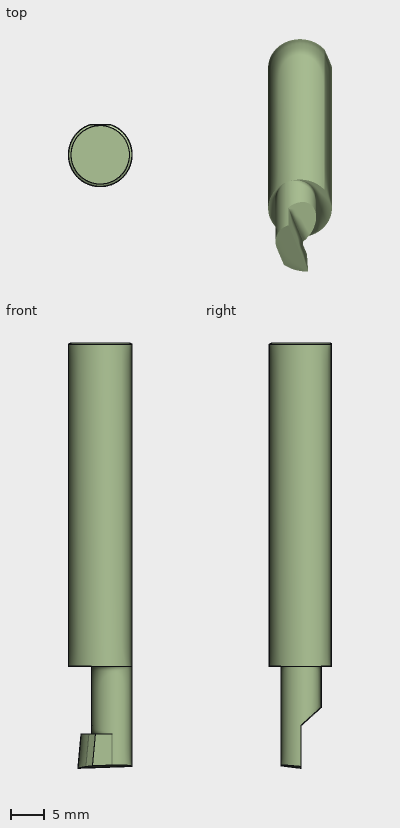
import cadquery as cq
import math


overall_length = 63.5
shank_diameter = 9.525
shank_radius = shank_diameter / 2
shank_depth_across_flat = 9.27
shank_bottom = 15.24
chamfer_radial = 0.4
chamfer_height = 0.2

neck_radius = 3.035
neck_x = shank_radius - neck_radius

rake_runout_bottom = 6.4
rake_runout_angle = 42.0

head_top = 5.15
tip_x = -3.35
side_lean_angle = 5.3
relief_corner_x = -2.17
relief_corner_y = -2.15
relief_sweep_angle = 22.0
heel_x = -1.2
heel_y = -neck_radius

end_rise_along_x = 2.0
end_rise_along_y = 6.0

clearance = 10.0


def tan_deg(angle):
    return math.tan(math.radians(angle))


def make_shank():
    length = overall_length - shank_bottom
    shank = (
        cq.Workplane("XY")
        .workplane(offset=shank_bottom)
        .circle(shank_radius)
        .extrude(length)
        .faces(">Z")
        .chamfer(chamfer_height, chamfer_radial)
    )
    flat_y = shank_depth_across_flat - shank_radius
    flat_cutter = cq.Workplane("XY").box(
        shank_diameter, clearance, overall_length, centered=(True, False, False)
    )
    return shank.cut(flat_cutter.translate((0, flat_y, 0)))


def make_neck():
    neck = cq.Workplane("XY").center(neck_x, 0).circle(neck_radius).extrude(shank_bottom)
    runout_top = rake_runout_bottom + clearance * tan_deg(rake_runout_angle)
    rake_cutter = (
        cq.Workplane("YZ")
        .polyline([
            (0, -clearance),
            (0, rake_runout_bottom),
            (clearance, runout_top),
            (clearance, -clearance),
        ])
        .close()
        .extrude(clearance, both=True)
    )
    return neck.cut(rake_cutter)


def arc_middle(start, end, sweep_angle):
    """Middle point of an arc that bulges to the right when going from start to end."""
    dx = end[0] - start[0]
    dy = end[1] - start[1]
    bulge = tan_deg(sweep_angle / 4) / 2
    return (
        (start[0] + end[0]) / 2 + bulge * dy,
        (start[1] + end[1]) / 2 - bulge * dx,
    )


def draw_head_outline(workplane, shift):
    """Half-section of the head with its leaning side moved by shift along X."""
    tip = (tip_x + shift, 0)
    relief_corner = (relief_corner_x + shift, relief_corner_y)
    return (
        workplane.moveTo(*tip)
        .threePointArc(arc_middle(tip, relief_corner, relief_sweep_angle), relief_corner)
        .lineTo(heel_x + shift, heel_y)
        .lineTo(neck_x, heel_y)
        .lineTo(neck_x, 0)
        .close()
    )


def make_head():
    """Cutting head whose side faces lean toward the neck as they rise."""
    top_shift = head_top * tan_deg(side_lean_angle)
    bottom_outline = draw_head_outline(cq.Workplane("XY"), 0)
    both_outlines = draw_head_outline(bottom_outline.workplane(offset=head_top), top_shift)
    return both_outlines.loft(ruled=True)


def make_end_relief_cutter():
    """Block whose top face passes through the tip and rises toward +X and -Y."""
    return (
        cq.Workplane("XY")
        .box(2 * clearance, 2 * clearance, clearance)
        .translate((0, 0, -clearance / 2))
        .rotate((0, 0, 0), (1, 0, 0), -end_rise_along_y)
        .rotate((0, 0, 0), (0, 1, 0), -end_rise_along_x)
        .translate((tip_x, 0, 0))
    )


tool_end = make_neck().union(make_head()).cut(make_end_relief_cutter())
result = make_shank().union(tool_end)